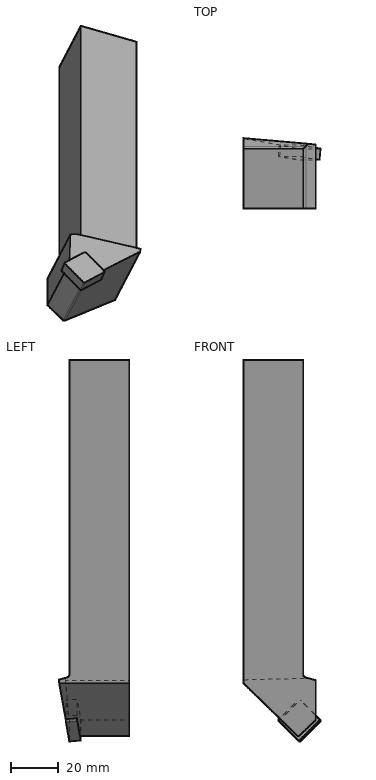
import cadquery as cq
import math

total_height = 159.7
shank_size = 25.0

head_width = 30.3
head_depth = 29.5
slope_start_z = 24.5
tip_x = 23.0
tip_z = 2.0
tip_radius = 0.6
side_corner_z = 9.1
shoulder_z = 27.1
shoulder_angle = 15.0
shoulder_radius = 1.3

insert_side = 12.6
insert_thickness = 4.8
insert_nose_radius = 0.5
insert_tip_x = 23.6
insert_tip_y = 25.0
insert_tip_z = -0.19
rake_angle = 7.2


def shoulder_drop(width):
    """Fall of the sloped shoulder over a given overhang."""
    return (width - shank_size) * math.tan(math.radians(shoulder_angle))


def shoulder_profile(plane, width, bottom_points):
    """Shank with a sloped shoulder on its far side, extruded far enough to cover the tool."""
    points = bottom_points + [
        (width, shoulder_z - shoulder_drop(width)),
        (shank_size, shoulder_z),
        (shank_size, total_height),
        (0, total_height),
    ]
    return cq.Workplane(plane).polyline(points).close()


def make_rake_plane():
    """Rake face plane: origin at the insert tip, X and Y along the insert edges."""
    across = math.cos(math.radians(rake_angle))
    lean = math.sin(math.radians(rake_angle))
    diagonal = math.sqrt(0.5)
    return cq.Plane(
        origin=(insert_tip_x, insert_tip_y, insert_tip_z),
        xDir=(-across * diagonal, lean, across * diagonal),
        normal=(lean * diagonal, across, -lean * diagonal),
    )


def make_insert(rake_plane):
    return (
        cq.Workplane(rake_plane)
        .rect(insert_side, insert_side, centered=False)
        .extrude(-insert_thickness)
        .edges(cq.selectors.ParallelDirSelector(rake_plane.zDir))
        .fillet(insert_nose_radius)
    )


def make_holder(rake_plane, insert):
    flanks = [(0, slope_start_z), (tip_x, tip_z), (head_width, side_corner_z)]
    side_prism = shoulder_profile("XZ", head_width, flanks).extrude(-head_depth)
    inner_corner = cq.selectors.NearestToPointSelector((shank_size, head_depth / 2, shoulder_z))
    side_prism = side_prism.edges(inner_corner).fillet(shoulder_radius)
    tip_edge = cq.selectors.NearestToPointSelector((tip_x, head_depth / 2, tip_z))
    side_prism = side_prism.edges(tip_edge).fillet(tip_radius)

    base = [(0, 0), (head_depth, 0)]
    depth_prism = shoulder_profile("YZ", head_depth, base).extrude(head_width)
    inner_corner = cq.selectors.NearestToPointSelector((head_width / 2, shank_size, shoulder_z))
    depth_prism = depth_prism.edges(inner_corner).fillet(shoulder_radius)

    clearance = 2 * (head_width + shoulder_z)
    head_zone = cq.Workplane("XY").box(clearance, clearance, shoulder_z, centered=(True, True, False))
    beyond_rake = (
        cq.Workplane(rake_plane)
        .rect(clearance, clearance)
        .extrude(head_depth)
        .intersect(head_zone)
    )
    return side_prism.intersect(depth_prism).cut(beyond_rake).cut(insert)


rake = make_rake_plane()
cutting_insert = make_insert(rake)
holder = make_holder(rake, cutting_insert)

result = cq.Compound.makeCompound([holder.solids().val(), cutting_insert.solids().val()])